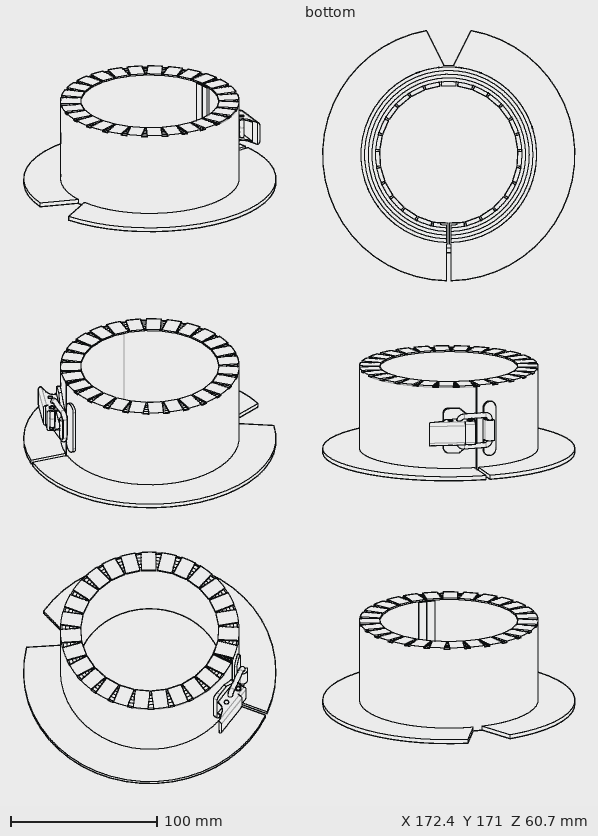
import cadquery as cq
import math

flange_radius = 86.2
flange_thickness = 3.0
sleeve_radius = 61.0
sheet = 1.0
overall_height = 60.7
tab_count = 27
tab_width = 10.2
tab_inner_radius = 47.0
split_gap = 0.7
lip_inner_radius = 46.5
lip_thickness = 1.5
lip_half_width = 5.7
fold_drop = 0.5
notch_inner_half = 3.3
notch_outer_half = 15.2

layer_count = 4
bore_radius = 50.0

closure_z = 29.8
wire_radius = 1.7
wire_bend_radius = 3.3
loop_left = -9.8
loop_right = 15.7
loop_height = 24.5
loop_y = 65.4

keeper_height = 38.0
keeper_thickness = 1.7
keeper_left = -13.8
keeper_corner = 4.5
hook_thickness = 1.7
hook_width = 14.5
hook_tip_angle = 135.0

latch_angle = 12.5
base_left = -11.2
base_right = 9.8
base_taper_end = -1.2
base_top = 63.1
base_height_left = 13.8
base_height_right = 31.0
base_corner = 3.5
lever_width = 16.2
lever_sheet = 1.0
lever_foot = 62.5
lever_left = -11.2
lever_heel = 9.0
lever_tip = 20.5
lever_top = 74.2
lever_front_top = 72.6
lever_step = -4.1
top_thickness = 1.9
lever_fillet = 2.2
front_fillet = 1.7
flank_top = (14.0, 69.9)
flank_middle = (10.5, 67.8)
flank_bottom = 64.0
pin_head = 0.3
pivot_u, pivot_v, pivot_diameter = 5.5, 68.0, 3.1
tube_u, tube_v, tube_diameter, tube_bore = -7.8, 68.5, 4.0, 2.8

inner_radius = sleeve_radius - sheet
strip_height = overall_height - sheet
slot_width = split_gap + 2 * sheet
layer_thickness = (inner_radius - bore_radius) / layer_count


def ring(outer, inner, height):
    return cq.Workplane("XY").circle(outer).circle(inner).extrude(height)


def solid_core():
    """Solid cylinder filling the sleeve, for shaping parts that seat against it."""
    return cq.Workplane("XY").circle(sleeve_radius).extrude(overall_height, both=True)


def slot_at_plus_y(width):
    """Full-height cutter running outward along +Y from the axis."""
    return cq.Workplane("XY").box(width, 2 * flange_radius, 2 * overall_height, centered=(True, False, True))


def make_flange():
    flange = ring(flange_radius, inner_radius, flange_thickness)
    slope = (notch_outer_half - notch_inner_half) / (
        math.sqrt(flange_radius**2 - notch_outer_half**2) - sleeve_radius)
    notch_end_half = notch_inner_half + slope * (flange_radius - sleeve_radius)
    notch = (
        cq.Workplane("XY")
        .moveTo(0, -sleeve_radius + notch_inner_half / slope)
        .lineTo(-notch_end_half, -flange_radius)
        .lineTo(notch_end_half, -flange_radius)
        .close()
        .extrude(flange_thickness)
    )
    return flange.cut(notch).cut(slot_at_plus_y(slot_width))


def make_tabs():
    """Ring of straight-sided tabs; one is centred on -Y, so a gap falls on +Y."""
    bars = cq.Workplane("XY")
    for index in range(tab_count):
        bar = cq.Workplane("XY").box(
            sleeve_radius - tab_inner_radius + sheet, tab_width, sheet, centered=(False, True, False))
        bar = bar.translate((tab_inner_radius, 0, strip_height))
        bars = bars.add(bar.rotate((0, 0, 0), (0, 0, 1), -90 + index * 360 / tab_count))
    return bars.combine().intersect(solid_core())


def make_folds():
    """Sleeve ends folded inward beside the split, each ending in a lip along the bore."""
    height = strip_height - fold_drop
    folds = ring(sleeve_radius, lip_inner_radius, height).intersect(slot_at_plus_y(slot_width))
    lips = ring(lip_inner_radius + lip_thickness, lip_inner_radius, height)
    return folds.union(lips.intersect(slot_at_plus_y(2 * lip_half_width)))


def make_housing():
    sleeve = ring(sleeve_radius, inner_radius, strip_height)
    sleeve = sleeve.union(make_folds()).cut(slot_at_plus_y(split_gap))
    return make_flange().union(sleeve).union(make_tabs())


def make_strip(index):
    outer = inner_radius - index * layer_thickness
    return ring(outer, outer - layer_thickness, strip_height).cut(slot_at_plus_y(slot_width))


def make_keeper():
    crossbar_x = loop_left + wire_radius
    hook_radius = wire_radius + hook_thickness
    stem_right = crossbar_x + hook_radius
    plate = (
        cq.Workplane("XZ", origin=((keeper_left + stem_right) / 2, 0, closure_z))
        .rect(stem_right - keeper_left, keeper_height)
        .extrude(-flange_radius)
        .edges("|Y").fillet(keeper_corner)
        .intersect(ring(sleeve_radius + keeper_thickness, sleeve_radius, overall_height))
    )

    def on_hook(radius, degrees):
        angle = math.radians(degrees)
        return crossbar_x + radius * math.cos(angle), loop_y + radius * math.sin(angle)

    middle_angle = hook_tip_angle / 2
    hook = (
        cq.Workplane("XY", origin=(0, 0, closure_z))
        .moveTo(stem_right, sleeve_radius)
        .lineTo(stem_right, loop_y)
        .threePointArc(on_hook(hook_radius, middle_angle), on_hook(hook_radius, hook_tip_angle))
        .lineTo(*on_hook(wire_radius, hook_tip_angle))
        .threePointArc(on_hook(wire_radius, middle_angle), on_hook(wire_radius, 0))
        .lineTo(stem_right - hook_thickness, sleeve_radius)
        .close()
        .extrude(hook_width / 2, both=True)
        .cut(solid_core())
    )
    return plate.union(hook)


def make_base():
    """Tapered mounting plate whose underside is hollowed to fit the sleeve."""
    left, right = base_height_left / 2, base_height_right / 2
    plate = (
        cq.Workplane("XZ")
        .polyline([(base_left, -left), (base_taper_end, -right), (base_right, -right),
                   (base_right, right), (base_taper_end, right), (base_left, left)])
        .close()
        .extrude(-base_top)
        .edges("|Y and >X").fillet(base_corner)
    )
    return plate.cut(solid_core())


def rounded_bar(left, right, top, radius):
    """Bar along the lever, as wide as the lever, with its two top edges rounded."""
    bar = cq.Workplane("XY").box(right - left, top - lever_foot, lever_width, centered=(False, False, True))
    return bar.faces(">Y").edges("|X").fillet(radius).translate((left, lever_foot, 0))


def make_lever():
    """Channel lever: two side plates joined by a top wall, open at its left end."""
    side_outline = (
        cq.Workplane("XY")
        .moveTo(lever_left, lever_foot)
        .lineTo(lever_left, lever_top)
        .lineTo(lever_tip, lever_top)
        .lineTo(lever_tip, lever_top - top_thickness)
        .lineTo(*flank_top)
        .threePointArc(flank_middle, (lever_heel, flank_bottom))
        .lineTo(lever_heel, lever_foot)
        .close()
        .extrude(lever_width, both=True)
    )
    front = rounded_bar(lever_left, lever_step, lever_front_top, front_fillet)
    handle = rounded_bar(lever_step, lever_tip, lever_top, lever_fillet)
    channel = cq.Workplane("XY").box(
        lever_tip - lever_left, lever_front_top - top_thickness - lever_foot, lever_width - 2 * lever_sheet,
        centered=(False, False, True))
    channel = channel.translate((lever_left, lever_foot, 0))
    return front.union(handle).intersect(side_outline).cut(channel)


def make_pin(u, v, diameter):
    return (
        cq.Workplane("XY").center(u, v).circle(diameter / 2)
        .extrude(lever_width / 2 + pin_head, both=True)
    )


def make_wire_loop():
    """Closed rectangular loop of round wire: four straight legs and four bends."""
    half_length = (loop_right - loop_left) / 2 - wire_radius
    half_height = loop_height / 2 - wire_radius
    straight_x = half_length - wire_bend_radius
    straight_z = half_height - wire_bend_radius
    loop = cq.Workplane("XY")
    for side in (1, -1):
        leg = cq.Solid.makeCylinder(
            wire_radius, 2 * straight_x, cq.Vector(-straight_x, 0, side * half_height), cq.Vector(1, 0, 0))
        crossbar = cq.Solid.makeCylinder(
            wire_radius, 2 * straight_z, cq.Vector(side * half_length, 0, -straight_z), cq.Vector(0, 0, 1))
        loop = loop.union(cq.Workplane(leg)).union(cq.Workplane(crossbar))
    for quarter, (x_side, z_side) in enumerate([(1, 1), (-1, 1), (-1, -1), (1, -1)]):
        bend = cq.Workplane("XY").center(wire_bend_radius, 0).circle(wire_radius).revolve(
            90, (-wire_bend_radius, 0), (-wire_bend_radius, -1))
        bend = bend.rotate((0, 0, 0), (0, 1, 0), -90 * quarter)
        loop = loop.union(bend.translate((x_side * straight_x, 0, z_side * straight_z)))
    return loop.translate(((loop_left + loop_right) / 2, loop_y, closure_z))


def make_latch():
    tube = make_pin(tube_u, tube_v, tube_diameter).cut(
        cq.Workplane("XY").center(tube_u, tube_v).circle(tube_bore / 2).extrude(lever_width, both=True))
    latch = make_base().union(make_lever()).union(make_pin(pivot_u, pivot_v, pivot_diameter)).union(tube)
    latch = latch.rotate((0, 0, 0), (0, 0, 1), -latch_angle).translate((0, 0, closure_z))
    return latch.union(make_wire_loop())


housing = make_housing()
strips = [make_strip(index) for index in range(layer_count)]
keeper = make_keeper()
latch = make_latch()
result = cq.Compound.makeCompound(
    [housing.val(), *[strip.val() for strip in strips], keeper.val(), latch.val()])